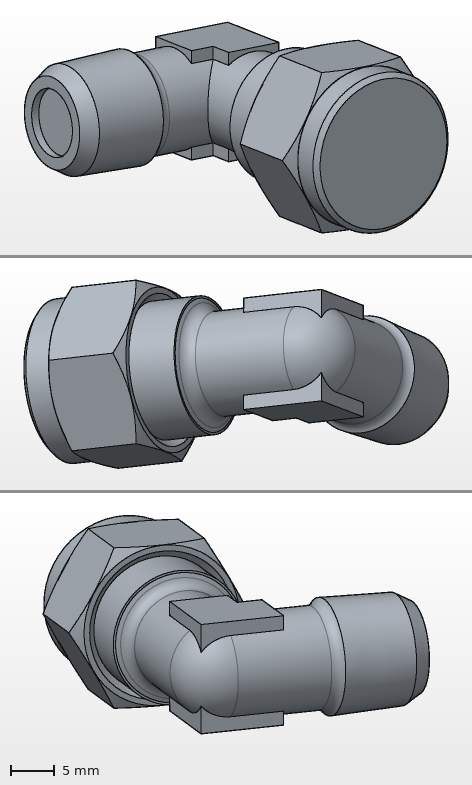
import cadquery as cq
import math

TUBE_RADIUS = 6.0
FLARE_START = 11.35

FLARE_END = 12.9
FLARE_END_RADIUS = 7.15
COLLAR_START = 13.08
COLLAR_FACE_RADIUS = 7.7
COLLAR_RADIUS = 7.95
NUT_START = 18.45
NUT_LENGTH = 10.0
NUT_ACROSS_FLATS = 19.0
NUT_CHAMFER_ANGLE = 30
NUT_FACE_RADIUS = 9.45
NUT_MOUTH_RADIUS = 8.75
NUT_MOUTH_DEPTH = 0.8
RIM_RADIUS = 9.43
RIM_END = 32.0
RIM_CHAMFER = 0.6

SHOULDER_START = 12.75
TAPER_LARGE_RADIUS = 6.8
TAPER_SMALL_RADIUS = 6.5
TAPER_END = 21.5
SPIGOT_END = 23.47
SPIGOT_TIP_RADIUS = 5.45
BORE_RADIUS = 4.0
BORE_DEPTH = 1.0

PAD_OUTER = 3.6
PAD_REACH = 6.45
PAD_INNER = 3.4
PAD_HALF_HEIGHT = 6.48

NUT_END = NUT_START + NUT_LENGTH
NUT_CORNER_RADIUS = NUT_ACROSS_FLATS / math.sqrt(3)


def flare_arc(profile, end, end_radius):
    """Extend a (distance, radius) profile by a concave arc that leaves the tube tangentially."""
    length = end - FLARE_START
    rise = end_radius - TUBE_RADIUS
    sweep = 2 * math.atan2(rise, length)
    arc_radius = length / math.sin(sweep)
    middle = (
        FLARE_START + arc_radius * math.sin(sweep / 2),
        TUBE_RADIUS + arc_radius * (1 - math.cos(sweep / 2)),
    )
    return profile.threePointArc(middle, (end, end_radius))


def revolve_x(profile):
    """Close a (distance, radius) profile and turn it about the X axis."""
    return profile.close().revolve(360, (0, 0, 0), (1, 0, 0))


def compression_arm():
    profile = cq.Workplane("XY").lineTo(0, TUBE_RADIUS).lineTo(FLARE_START, TUBE_RADIUS)
    profile = (
        flare_arc(profile, FLARE_END, FLARE_END_RADIUS)
        .lineTo(COLLAR_START, COLLAR_FACE_RADIUS)
        .lineTo(COLLAR_START, COLLAR_RADIUS)
        .lineTo(NUT_END, COLLAR_RADIUS)
        .lineTo(NUT_END, RIM_RADIUS)
        .lineTo(RIM_END - RIM_CHAMFER, RIM_RADIUS)
        .lineTo(RIM_END, RIM_RADIUS - RIM_CHAMFER)
        .lineTo(RIM_END, 0)
    )
    return revolve_x(profile)


def nut():
    """Hexagon with corners on +Y and -Y, both ends chamfered and a conical mouth facing the elbow."""
    hexagon = (
        cq.Workplane("YZ", origin=(NUT_START, 0, 0))
        .polygon(6, 2 * NUT_CORNER_RADIUS)
        .extrude(NUT_LENGTH)
    )
    chamfer_length = (NUT_CORNER_RADIUS - NUT_FACE_RADIUS) * math.tan(math.radians(NUT_CHAMFER_ANGLE))
    envelope = revolve_x(
        cq.Workplane("XY")
        .moveTo(NUT_START, 0)
        .lineTo(NUT_START, NUT_FACE_RADIUS)
        .lineTo(NUT_START + chamfer_length, NUT_CORNER_RADIUS)
        .lineTo(NUT_END - chamfer_length, NUT_CORNER_RADIUS)
        .lineTo(NUT_END, NUT_FACE_RADIUS)
        .lineTo(NUT_END, 0)
    )
    mouth = revolve_x(
        cq.Workplane("XY")
        .moveTo(NUT_START, 0)
        .lineTo(NUT_START, NUT_MOUTH_RADIUS)
        .lineTo(NUT_START + NUT_MOUTH_DEPTH, COLLAR_RADIUS)
        .lineTo(NUT_START + NUT_MOUTH_DEPTH, 0)
    )
    return hexagon.intersect(envelope).cut(mouth)


def tapered_arm():
    profile = cq.Workplane("XY").lineTo(0, TUBE_RADIUS).lineTo(FLARE_START, TUBE_RADIUS)
    profile = (
        flare_arc(profile, SHOULDER_START, TAPER_LARGE_RADIUS)
        .lineTo(TAPER_END, TAPER_SMALL_RADIUS)
        .lineTo(SPIGOT_END, SPIGOT_TIP_RADIUS)
        .lineTo(SPIGOT_END, BORE_RADIUS)
        .lineTo(SPIGOT_END - BORE_DEPTH, BORE_RADIUS)
        .lineTo(SPIGOT_END - BORE_DEPTH, 0)
    )
    return revolve_x(profile).rotate((0, 0, 0), (0, 0, 1), -90)


def wrench_pads():
    outline = [
        (-PAD_OUTER, PAD_OUTER),
        (PAD_REACH, PAD_OUTER),
        (PAD_REACH, -PAD_INNER),
        (PAD_INNER, -PAD_INNER),
        (PAD_INNER, -PAD_REACH),
        (-PAD_OUTER, -PAD_REACH),
    ]
    return cq.Workplane("XY").polyline(outline).close().extrude(PAD_HALF_HEIGHT, both=True)


elbow_corner = cq.Workplane("XY").sphere(TUBE_RADIUS)

result = (
    compression_arm()
    .union(nut())
    .union(tapered_arm())
    .union(elbow_corner)
    .union(wrench_pads())
)